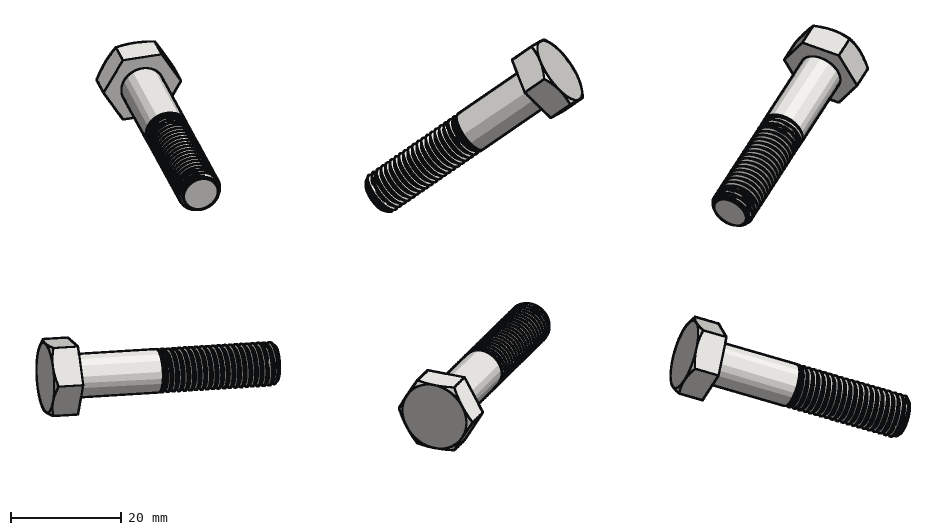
import cadquery as cq
import math

total_length = 43.25
head_height = 5.2
across_flats = 12.7
shank_diameter = 7.95
head_sides = 6
head_chamfer_angle = 30.0

thread_start = 21.02
thread_turns = 21
thread_depth = 0.65
runout_length = 1.3
ridge_setback = 0.1
tip_radius = 3.2
crest_clearance = 0.02
flank_angle = 30.0
root_overlap = 0.05

thread_pitch = (total_length - thread_start) / thread_turns
crest_width = thread_pitch / 8
shank_radius = shank_diameter / 2
crest_radius = shank_radius - crest_clearance
root_radius = shank_radius - thread_depth
flat_radius = across_flats / 2
corner_radius = flat_radius / math.cos(math.pi / head_sides)


def revolve_profile(points):
    """Revolve a closed (x, radius) outline around the bolt axis."""
    outline = cq.Workplane("XY").polyline(points).close()
    return outline.revolve(360, (0, 0, 0), (1, 0, 0))


def make_head():
    """Hexagon with two corners on the Y axis, its outer face chamfered by a cone."""
    hexagon = cq.Workplane("YZ").polygon(head_sides, 2 * corner_radius).extrude(head_height)
    chamfer_length = (corner_radius - flat_radius) * math.tan(math.radians(head_chamfer_angle))
    cone_envelope = revolve_profile([
        (0, 0),
        (0, flat_radius),
        (chamfer_length, corner_radius),
        (head_height, corner_radius),
        (head_height, 0),
    ])
    return hexagon.intersect(cone_envelope)


def make_shank():
    """Plain shank that tapers through the thread runout into the root cylinder."""
    return revolve_profile([
        (0, 0),
        (0, root_radius),
        (head_height, root_radius),
        (head_height, shank_radius),
        (thread_start, shank_radius),
        (thread_start + runout_length, root_radius),
        (total_length - (root_radius - tip_radius), root_radius),
        (total_length, tip_radius),
        (total_length, 0),
    ])


def make_thread_ridge():
    """Right-handed helical ridge, trimmed at the shank and by the chamfered tip."""
    base_radius = root_radius - root_overlap
    half_crest = crest_width / 2
    half_base = half_crest + (crest_radius - base_radius) * math.tan(math.radians(flank_angle))
    ridge_length = (thread_turns + 1) * thread_pitch

    helix = cq.Wire.makeHelix(thread_pitch, ridge_length, base_radius)
    profile = (
        cq.Workplane("XZ")
        .polyline([
            (base_radius, -half_base),
            (crest_radius, -half_crest),
            (crest_radius, half_crest),
            (base_radius, half_base),
        ])
        .close()
    )
    ridge = profile.sweep(cq.Workplane(obj=helix), isFrenet=True)
    ridge = ridge.rotate((0, 0, 0), (1, 1, 1), 120).translate((thread_start - ridge_setback, 0, 0))

    outer_radius = shank_radius + thread_depth
    tip_length = outer_radius - tip_radius
    trim = revolve_profile([
        (thread_start, 0),
        (thread_start, outer_radius),
        (total_length - tip_length, outer_radius),
        (total_length, tip_radius),
        (total_length, 0),
    ])
    return ridge.intersect(trim)


result = make_head().union(make_shank()).union(make_thread_ridge()).solids()